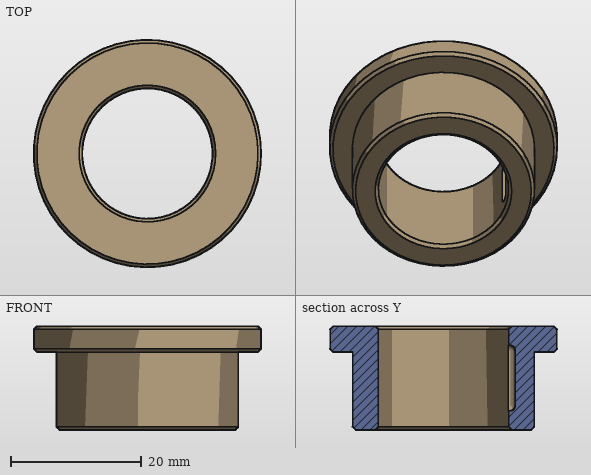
import cadquery as cq

total_height = 16.0
flange_diameter = 35.0
flange_thickness = 4.0
sleeve_diameter = 28.0
bore_diameter = 20.0
chamfer = 0.5

groove_width = 1.5
groove_depth = 1.0
groove_end_margin = 3.0


def make_body():
    sleeve_height = total_height - flange_thickness
    sleeve = cq.Workplane("XY").circle(sleeve_diameter / 2).extrude(sleeve_height)
    sleeve = sleeve.faces("<Z").edges().chamfer(chamfer)
    flange = (
        cq.Workplane("XY")
        .workplane(offset=sleeve_height)
        .circle(flange_diameter / 2)
        .extrude(flange_thickness)
        .edges()
        .chamfer(chamfer)
    )
    return sleeve.union(flange)


def cut_bore(body):
    bored = body.cut(cq.Workplane("XY").circle(bore_diameter / 2).extrude(total_height))
    bore_rims = cq.selectors.RadiusNthSelector(0)
    top_chamfered = bored.faces(">Z").edges(bore_rims).chamfer(chamfer)
    return top_chamfered.faces("<Z").edges(bore_rims).chamfer(chamfer)


def make_groove_cutter():
    """Round-ended bar along Z, with its inner end in the bore and its floor rounded to a full radius."""
    groove_radius = groove_width / 2
    bore_radius = bore_diameter / 2
    floor_center_x = bore_radius + groove_depth - groove_radius
    length = total_height - 2 * groove_end_margin
    axis_length = length - groove_width

    walls = (
        cq.Workplane("YZ")
        .workplane(offset=bore_radius - groove_radius)
        .center(0, total_height / 2)
        .slot2D(length, groove_width, 90)
        .extrude(floor_center_x - bore_radius + groove_radius)
    )
    rounded_floor = (
        cq.Workplane("XZ")
        .moveTo(0, -length / 2)
        .radiusArc((groove_radius, -axis_length / 2), -groove_radius)
        .lineTo(groove_radius, axis_length / 2)
        .radiusArc((0, length / 2), -groove_radius)
        .close()
        .revolve(360, (0, 0, 0), (0, 1, 0))
        .translate((floor_center_x, 0, total_height / 2))
    )
    return walls.union(rounded_floor)


result = cut_bore(make_body()).cut(make_groove_cutter())